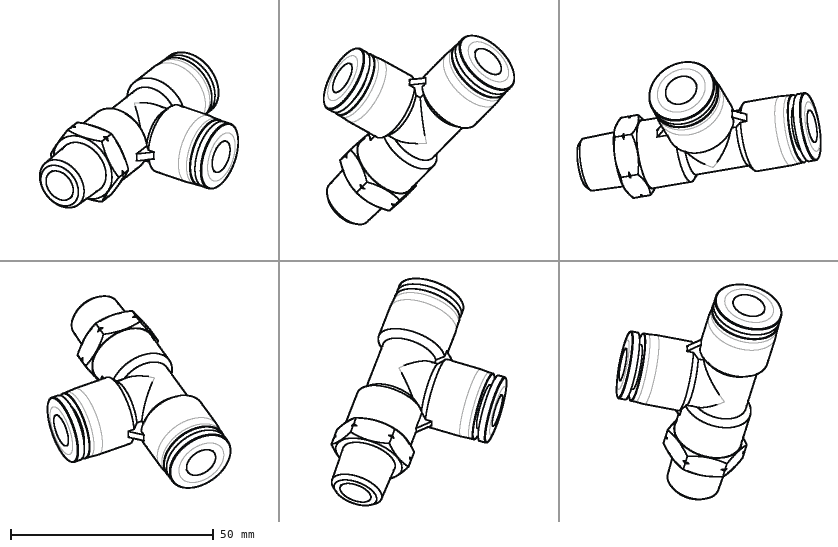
import cadquery as cq
import math


neck_radius = 7.0
shell_radius = 8.7
port_length = 25.8
neck_length = 8.3
shell_start = 9.95
cap_start = 18.8
cap_step = 21.05
cap_end = 22.25
cap_radius = 8.55
cap_edge_chamfer = 0.1
sleeve_radius = 5.65
ring_start = 23.6
ring_radius = 8.5
ring_edge_chamfer = 0.2
ring_dome_height = 0.35
ring_dome_radius = 6.2

overall_length = 59.3
stud_length = overall_length - port_length
nut_start = 17.0
nut_height = 6.05
nut_end = nut_start + nut_height
barrel_radius = 8.55
barrel_cone_start = 5.5
barrel_start = barrel_cone_start + barrel_radius - neck_radius
thread_root_radius = 6.9
thread_taper = 1 / 32
thread_tip_chamfer = 1.0

nut_across_flats = 17.5
nut_corner_radius = nut_across_flats / 2 / math.cos(math.pi / 6)
nut_face_radius = 8.65
nut_chamfer_angle = math.radians(30)
nut_groove_depth = 0.4
nut_groove_half_width = 0.25

web_reach = 20.3
web_thickness = 2.0
bore_radius = 4.05


def revolve_about_y(points):
    """Solid of revolution about Y from (radius, y) points, closed along the axis."""
    start_y = points[0][1]
    end_y = points[-1][1]
    outline = [(0, start_y)] + points + [(0, end_y)]
    return cq.Workplane("XY").polyline(outline).close().revolve(360, (0, 0, 0), (0, 1, 0))


def make_port():
    """Neck, shell, tapered cap and release ring of one port, pointing along +Y."""
    dome_start = port_length - ring_dome_height
    return revolve_about_y([
        (neck_radius, 0),
        (neck_radius, neck_length),
        (shell_radius, shell_start),
        (shell_radius, cap_start),
        (cap_radius, cap_step),
        (cap_radius, cap_end - cap_edge_chamfer),
        (cap_radius - cap_edge_chamfer, cap_end),
        (sleeve_radius, cap_end),
        (sleeve_radius, ring_start),
        (ring_radius, ring_start),
        (ring_radius, dome_start - ring_edge_chamfer),
        (ring_radius - ring_edge_chamfer, dome_start),
        (ring_dome_radius, port_length),
    ])


def make_stud():
    """Barrel and tapered thread stub, pointing along -Y."""
    tip_chamfer_start = stud_length - thread_tip_chamfer
    thread_end_radius = thread_root_radius - thread_taper * (tip_chamfer_start - nut_end)
    return revolve_about_y([
        (neck_radius, 0),
        (neck_radius, -barrel_cone_start),
        (barrel_radius, -barrel_start),
        (barrel_radius, -nut_end),
        (thread_root_radius, -nut_end),
        (thread_end_radius, -tip_chamfer_start),
        (thread_end_radius - thread_tip_chamfer, -stud_length),
    ])


def make_nut():
    """Hexagon with corners on X, both faces chamfered and a V groove around its middle."""
    hexagon = (
        cq.Workplane("XZ", origin=(0, -nut_start, 0))
        .polygon(6, 2 * nut_corner_radius)
        .extrude(nut_height)
    )
    chamfer_height = (nut_corner_radius - nut_face_radius) * math.tan(nut_chamfer_angle)
    groove_y = -(nut_start + nut_height / 2)
    envelope = revolve_about_y([
        (nut_face_radius, -nut_start),
        (nut_corner_radius, -nut_start - chamfer_height),
        (nut_corner_radius, groove_y + nut_groove_half_width),
        (nut_corner_radius - nut_groove_depth, groove_y),
        (nut_corner_radius, groove_y - nut_groove_half_width),
        (nut_corner_radius, -nut_end + chamfer_height),
        (nut_face_radius, -nut_end),
    ])
    return hexagon.intersect(envelope)


def make_web():
    """Flat triangular web filling both corners between the run and the branch."""
    return (
        cq.Workplane("XY")
        .polyline([(0, -web_reach), (web_reach, 0), (0, web_reach)])
        .close()
        .extrude(web_thickness / 2, both=True)
    )


def make_bores():
    """Straight bore through the run, and one from the branch mouth to the run axis."""
    run_bore = cq.Workplane("XZ", origin=(0, port_length, 0)).circle(bore_radius)
    branch_bore = cq.Workplane("YZ").circle(bore_radius)
    return run_bore.extrude(port_length + stud_length).union(branch_bore.extrude(port_length))


run_port = make_port()
branch_port = make_port().rotate((0, 0, 0), (0, 0, 1), -90)

result = (
    run_port
    .union(branch_port)
    .union(make_stud())
    .union(make_nut())
    .union(make_web())
    .cut(make_bores())
)